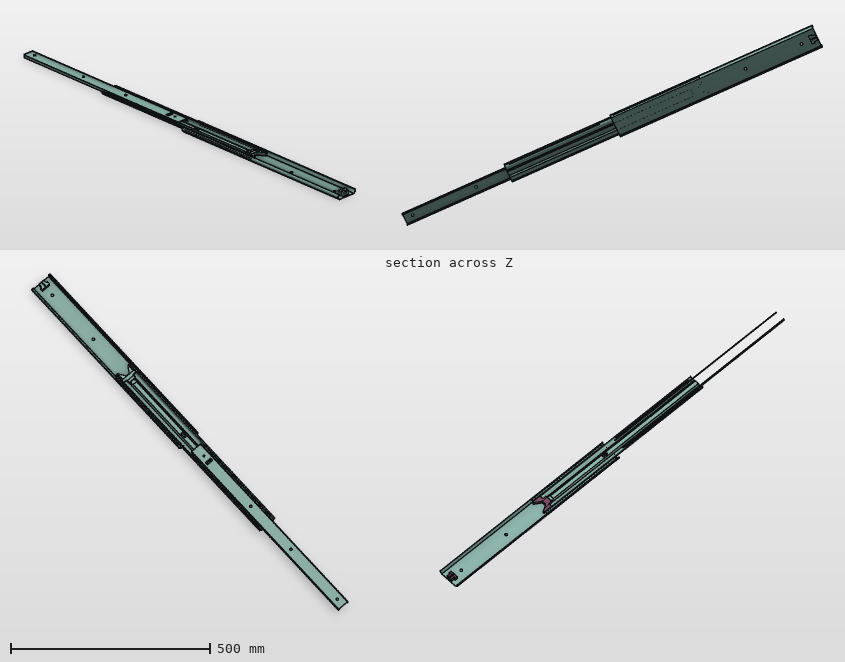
import cadquery as cq
import math


TOTAL_LENGTH = 1143.34
TOTAL_WIDTH = 63.0
TOTAL_HEIGHT = 16.0
SHEET = 1.6
BOTTOM_Z = -TOTAL_HEIGHT / 2
TOP_Z = TOTAL_HEIGHT / 2

INNER_START = 0.0
INNER_END = 556.5
MID_START = 287.15
MID_END = 833.8
OUTER_END = TOTAL_LENGTH
OUTER_START = 584.0

TRACK_RADIUS = 5.25
TRACK_Y = TOTAL_WIDTH / 2 - TRACK_RADIUS
TRACK_Z = 0.4
SIDE_TILT = 42.0
LIP_ANGLE = 60.0
LIP_LENGTH = 2.9
OUTER_FLOOR_Z = BOTTOM_Z + SHEET
OUTER_HOLE_DIAMETER = 6.4
OUTER_HOLE_XS = (945.0, 1100.0)

MID_BOTTOM_Z = -5.1
MID_FLOOR_Z = MID_BOTTOM_Z + SHEET
MID_TOP_Z = 5.0
MID_FLANGE_Y = 25.5
MID_WALL_Y = 20.6
MID_BEND = 3.1
RIB_TOP_HALF = 6.2
RIB_FOOT_HALF = 10.6
RIB_RISE = 3.4
RIB_END = 797.0
RIB_SLOT_X = 604.0
RIB_SLOT_LENGTH = 15.0
RIB_SLOT_WIDTH = 4.4

RECESS_START = 815.0
RECESS_HALF_NARROW = 5.5
RECESS_HALF_WIDE = 17.0

INNER_HALF = 16.0
INNER_BEND = 2.3
INNER_BOTTOM_Z = -1.5
INNER_GROOVE_DEPTH = 1.4
INNER_HOLE_DIAMETER = 6.0
INNER_HOLE_XS = (22.4, 198.0, 349.5)
SMALL_HOLE_DIAMETER = 4.4
SMALL_HOLE_X = 527.0

BAR_START = 503.8
BAR_LENGTH = 7.6
BAR_HALF = 8.7
BAR_GROOVE_DEPTH = 0.6

INNER_RETAINER_START = 300.0
INNER_RETAINER_END = 550.0
INNER_RETAINER_YS = (16.5, 20.2)
INNER_RETAINER_ZS = (0.5, 3.5)
OUTER_RETAINER_START = 592.0
OUTER_RETAINER_END = 830.0
OUTER_RETAINER_YS = (23.0, 28.5)
OUTER_RETAINER_ZS = (-2.2, 1.8)

BUMPER_TOP_Z = 4.5
BUMPER_FRONT_HALF = 11.0
BUMPER_SHOULDER_X = 807.0
BUMPER_GROOVE_START = 804.0
BUMPER_GROOVE_WIDTH = 10.0
BUMPER_GROOVE_DEPTH = 1.0

NOSE_START = 787.5
NOSE_BARB_X = 791.5
NOSE_NECK_X = 795.0
NOSE_HALF = 5.2
NOSE_BARB_HALF = 8.6
NOSE_TOP_Z = MID_FLOOR_Z + RIB_RISE

STOP_START = 1124.0
STOP_STEP_X = 1132.0
STOP_END = 1141.0
STOP_TOP_Z = 6.5
STOP_HALF_WIDE = 11.8
STOP_HALF_NARROW = 8.0
STOP_SLIT = 2.0
STOP_SLIT_START = 1127.0


def box(x_range, y_range, z_range):
    """A box spanning the given ranges."""
    size = [high - low for low, high in (x_range, y_range, z_range)]
    corner = (x_range[0], y_range[0], z_range[0])
    return cq.Workplane("XY").box(*size, centered=False).translate(corner)


def extrude_half(half_profile, start, end):
    """Extrudes the +Y half of a section, drawn in the YZ plane, and mirrors it into a full section."""
    half = half_profile.close().extrude(end - start).translate((start, 0, 0))
    return half.union(half.mirror("XZ"))


def through_holes(xs, diameter):
    """Vertical cutters on the centre line."""
    cutters = cq.Workplane("XY", origin=(0, 0, BOTTOM_Z)).pushPoints([(x, 0) for x in xs])
    return cutters.circle(diameter / 2).extrude(TOTAL_HEIGHT)


def circle_point(center_y, center_z, radius, degrees):
    """A point of the YZ plane on the circle of the given centre and radius, at an angle from +Y."""
    angle = math.radians(degrees)
    return (center_y + radius * math.cos(angle), center_z + radius * math.sin(angle))


def track_point(radius, degrees):
    """A point on a circle about the ball track centre of the outer member."""
    return circle_point(TRACK_Y, TRACK_Z, radius, degrees)


def side_foot(radius, z):
    """Where the side line, tangent to the track circle of the given radius, comes down to height z."""
    y_tangent, z_tangent = track_point(radius, -SIDE_TILT)
    return (y_tangent - (z_tangent - z) * math.tan(math.radians(SIDE_TILT)), z)


def lip_tip(radius):
    """The end of the straight lip, tangent to the track circle of the given radius."""
    angle = math.radians(LIP_ANGLE)
    y_tangent, z_tangent = track_point(radius, LIP_ANGLE)
    return (y_tangent - LIP_LENGTH * math.sin(angle), z_tangent + LIP_LENGTH * math.cos(angle))


def outer_member():
    inside_radius = TRACK_RADIUS - SHEET
    section = (
        cq.Workplane("YZ")
        .moveTo(0, BOTTOM_Z)
        .lineTo(*side_foot(TRACK_RADIUS, BOTTOM_Z))
        .lineTo(*track_point(TRACK_RADIUS, -SIDE_TILT))
        .threePointArc(track_point(TRACK_RADIUS, 0), track_point(TRACK_RADIUS, LIP_ANGLE))
        .lineTo(*lip_tip(TRACK_RADIUS))
        .lineTo(*lip_tip(inside_radius))
        .lineTo(*track_point(inside_radius, LIP_ANGLE))
        .threePointArc(track_point(inside_radius, 0), track_point(inside_radius, -SIDE_TILT))
        .lineTo(*side_foot(inside_radius, OUTER_FLOOR_Z))
        .lineTo(0, OUTER_FLOOR_Z)
    )
    channel = extrude_half(section, OUTER_START, OUTER_END)
    return channel.cut(through_holes(OUTER_HOLE_XS, OUTER_HOLE_DIAMETER))


def mid_section(rib_rise):
    """Half section of the middle member; the rib is left out when its rise is zero."""
    bend_y = MID_WALL_Y - MID_BEND
    bend_z = MID_FLOOR_Z + MID_BEND
    outside_bend = MID_BEND + SHEET
    section = cq.Workplane("YZ").moveTo(0, MID_BOTTOM_Z + rib_rise)
    if rib_rise:
        section = section.lineTo(RIB_TOP_HALF - SHEET / 2, MID_BOTTOM_Z + rib_rise)
        section = section.lineTo(RIB_FOOT_HALF - SHEET / 2, MID_BOTTOM_Z)
    section = (
        section.lineTo(bend_y, MID_BOTTOM_Z)
        .threePointArc(circle_point(bend_y, bend_z, outside_bend, -45), (MID_WALL_Y + SHEET, bend_z))
        .lineTo(MID_WALL_Y + SHEET, MID_TOP_Z - SHEET)
        .lineTo(MID_FLANGE_Y, MID_TOP_Z - SHEET)
        .lineTo(MID_FLANGE_Y, MID_TOP_Z)
        .lineTo(MID_WALL_Y + SHEET, MID_TOP_Z)
        .threePointArc(
            circle_point(MID_WALL_Y + SHEET, MID_TOP_Z - SHEET, SHEET, 135),
            (MID_WALL_Y, MID_TOP_Z - SHEET),
        )
        .lineTo(MID_WALL_Y, bend_z)
        .threePointArc(circle_point(bend_y, bend_z, MID_BEND, -45), (bend_y, MID_FLOOR_Z))
    )
    if rib_rise:
        section = section.lineTo(RIB_FOOT_HALF, MID_FLOOR_Z)
        section = section.lineTo(RIB_TOP_HALF, MID_FLOOR_Z + rib_rise)
    return section.lineTo(0, MID_FLOOR_Z + rib_rise)


def end_recess():
    """Cutter for the tapered recess shared by the middle member and its bumper."""
    return (
        cq.Workplane("XY", origin=(0, 0, BOTTOM_Z))
        .moveTo(RECESS_START, -RECESS_HALF_NARROW)
        .lineTo(MID_END, -RECESS_HALF_WIDE)
        .lineTo(MID_END, RECESS_HALF_WIDE)
        .lineTo(RECESS_START, RECESS_HALF_NARROW)
        .close()
        .extrude(TOTAL_HEIGHT)
    )


def bumper_nose():
    """The barbed nose, as deep as the rib; it also cuts its own seat in the rib."""
    return (
        cq.Workplane("XY", origin=(0, 0, MID_FLOOR_Z))
        .moveTo(RIB_END, -NOSE_HALF)
        .lineTo(NOSE_NECK_X, -NOSE_HALF)
        .lineTo(NOSE_BARB_X, -NOSE_BARB_HALF)
        .lineTo(NOSE_START, -NOSE_HALF)
        .lineTo(NOSE_START, NOSE_HALF)
        .lineTo(NOSE_BARB_X, NOSE_BARB_HALF)
        .lineTo(NOSE_NECK_X, NOSE_HALF)
        .lineTo(RIB_END, NOSE_HALF)
        .close()
        .extrude(NOSE_TOP_Z - MID_FLOOR_Z)
    )


def mid_member():
    ribbed = extrude_half(mid_section(RIB_RISE), MID_START, RIB_END)
    plain = extrude_half(mid_section(0), RIB_END, MID_END)
    slot = (
        cq.Workplane("XY", origin=(RIB_SLOT_X, 0, BOTTOM_Z))
        .slot2D(RIB_SLOT_LENGTH, RIB_SLOT_WIDTH)
        .extrude(TOTAL_HEIGHT)
    )
    channel = ribbed.union(plain).cut(end_recess())
    return channel.cut(slot).cut(bumper_nose())


def bar_slot():
    """The block of the inner web that the cross bar replaces."""
    return box((BAR_START, BAR_START + BAR_LENGTH), (-BAR_HALF, BAR_HALF), (TOP_Z - SHEET, TOP_Z))


def inner_member():
    groove_z = (TOP_Z - INNER_BEND + INNER_BOTTOM_Z) / 2
    groove_y = INNER_HALF - INNER_GROOVE_DEPTH
    bend_y = INNER_HALF - INNER_BEND
    bend_z = TOP_Z - INNER_BEND
    inside_bend = INNER_BEND - SHEET
    section = (
        cq.Workplane("YZ")
        .moveTo(0, TOP_Z)
        .lineTo(bend_y, TOP_Z)
        .threePointArc(circle_point(bend_y, bend_z, INNER_BEND, 45), (INNER_HALF, bend_z))
        .threePointArc((groove_y, groove_z), (INNER_HALF, INNER_BOTTOM_Z))
        .lineTo(INNER_HALF - SHEET, INNER_BOTTOM_Z)
        .threePointArc((groove_y - SHEET, groove_z), (INNER_HALF - SHEET, bend_z))
        .threePointArc(circle_point(bend_y, bend_z, inside_bend, 45), (bend_y, TOP_Z - SHEET))
        .lineTo(0, TOP_Z - SHEET)
    )
    channel = extrude_half(section, INNER_START, INNER_END)
    channel = channel.cut(through_holes(INNER_HOLE_XS, INNER_HOLE_DIAMETER))
    channel = channel.cut(through_holes((SMALL_HOLE_X,), SMALL_HOLE_DIAMETER))
    return channel.cut(bar_slot())


def cross_bar():
    """The bar in the inner web, with a V groove along its top."""
    middle = BAR_START + BAR_LENGTH / 2
    groove = (
        cq.Workplane("XZ", origin=(0, BAR_HALF, 0))
        .moveTo(middle - BAR_GROOVE_DEPTH, TOP_Z)
        .lineTo(middle, TOP_Z - BAR_GROOVE_DEPTH)
        .lineTo(middle + BAR_GROOVE_DEPTH, TOP_Z)
        .close()
        .extrude(2 * BAR_HALF)
    )
    return bar_slot().cut(groove)


def retainer(x_range, y_range, z_range, side):
    """A ball retainer strip on the +Y side (side = 1) or the -Y side (side = -1)."""
    strip = box(x_range, y_range, z_range)
    return strip if side > 0 else strip.mirror("XZ")


def mid_bumper():
    """A block that fills the middle member between its walls, with a narrower front and a nose."""
    bend_y = MID_WALL_Y - MID_BEND
    bend_z = MID_FLOOR_Z + MID_BEND
    section = (
        cq.Workplane("YZ")
        .moveTo(0, MID_FLOOR_Z)
        .lineTo(bend_y, MID_FLOOR_Z)
        .threePointArc(circle_point(bend_y, bend_z, MID_BEND, -45), (MID_WALL_Y, bend_z))
        .lineTo(MID_WALL_Y, MID_TOP_Z - SHEET)
        .lineTo(bend_y, BUMPER_TOP_Z)
        .lineTo(0, BUMPER_TOP_Z)
    )
    groove = box(
        (BUMPER_GROOVE_START, BUMPER_GROOVE_START + BUMPER_GROOVE_WIDTH),
        (-MID_WALL_Y, MID_WALL_Y),
        (BUMPER_TOP_Z - BUMPER_GROOVE_DEPTH, TOP_Z),
    )
    block = extrude_half(section, RIB_END, MID_END).cut(end_recess()).cut(groove)
    shoulder = box(
        (RIB_END, BUMPER_SHOULDER_X),
        (BUMPER_FRONT_HALF, MID_WALL_Y),
        (MID_FLOOR_Z, BUMPER_TOP_Z),
    )
    return block.cut(shoulder).cut(shoulder.mirror("XZ")).union(bumper_nose())


def outer_stop():
    """A T-shaped block whose stem is split into two prongs."""
    heights = (OUTER_FLOOR_Z, STOP_TOP_Z)
    head = box((STOP_START, STOP_STEP_X), (-STOP_HALF_WIDE, STOP_HALF_WIDE), heights)
    stem = box((STOP_STEP_X, STOP_END), (-STOP_HALF_NARROW, STOP_HALF_NARROW), heights)
    slit = box((STOP_SLIT_START, STOP_END), (-STOP_SLIT / 2, STOP_SLIT / 2), heights)
    return head.union(stem).cut(slit)


outer = outer_member()
middle = mid_member()
inner = inner_member()
bar = cross_bar()
bumper = mid_bumper()
stop = outer_stop()

inner_reach = (INNER_RETAINER_START, INNER_RETAINER_END)
outer_reach = (OUTER_RETAINER_START, OUTER_RETAINER_END)
retainers = []
for side in (1, -1):
    retainers.append(retainer(inner_reach, INNER_RETAINER_YS, INNER_RETAINER_ZS, side).val())
    retainers.append(retainer(outer_reach, OUTER_RETAINER_YS, OUTER_RETAINER_ZS, side).val())

bodies = [body.val() for body in (outer, middle, inner, bar, bumper, stop)]
result = cq.Compound.makeCompound(bodies + retainers)